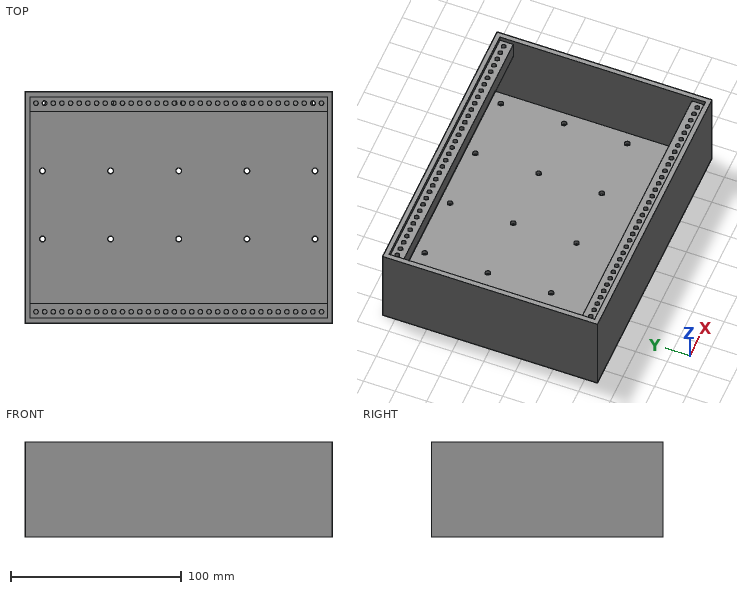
import cadquery as cq

length = 180.46
depth = 136.0
height = 56.0
wall = 3.0
floor_thickness = 3.0

inner_length = length - 2 * wall
inner_depth = depth - 2 * wall

rail_width = 8.5
rail_height = 11.5
rail_drop = 3.0
rail_top = height - rail_drop
rail_bottom = rail_top - rail_height

rail_hole_diameter = 2.7
rail_hole_pitch = 5.08
rail_hole_count = 34
rail_row_spacing = 122.5

floor_hole_diameter = 3.2
floor_hole_pitch = 40.0
floor_hole_columns = 5
floor_hole_rows = 4
floor_hole_offset_y = wall / 2


def block(size_x, size_y, bottom, top):
    """Box centred on the Z axis, reaching from bottom to top."""
    return cq.Workplane("XY").workplane(offset=bottom).rect(size_x, size_y).extrude(top - bottom)


def open_box():
    """Floor and four walls, open at the top."""
    outside = block(length, depth, 0, height)
    inside = block(inner_length, inner_depth, floor_thickness, height)
    return outside.cut(inside)


def rail(side):
    """Rail on the inside of the wall at the +Y (side = 1) or -Y (side = -1) end."""
    centre_y = side * (inner_depth - rail_width) / 2
    return block(inner_length, rail_width, rail_bottom, rail_top).translate((0, centre_y, 0))


def rail_holes(side):
    """Row of screw holes right through one rail."""
    return (
        cq.Workplane("XY")
        .workplane(offset=rail_bottom)
        .center(0, side * rail_row_spacing / 2)
        .rarray(rail_hole_pitch, 1, rail_hole_count, 1)
        .circle(rail_hole_diameter / 2)
        .extrude(rail_height)
    )


def floor_holes():
    """Grid of screw holes, centred on the floor between the -Y wall and the open +Y edge."""
    return (
        cq.Workplane("XY")
        .center(0, floor_hole_offset_y)
        .rarray(floor_hole_pitch, floor_hole_pitch, floor_hole_columns, floor_hole_rows)
        .circle(floor_hole_diameter / 2)
        .extrude(floor_thickness)
    )


def back_opening():
    """Full-width opening through the +Y wall, between the floor and the rail."""
    centre_y = (depth - wall) / 2
    return block(inner_length, wall, floor_thickness, rail_bottom).translate((0, centre_y, 0))


result = open_box().cut(back_opening())
for side in (-1, 1):
    result = result.union(rail(side)).cut(rail_holes(side))
result = result.cut(floor_holes())